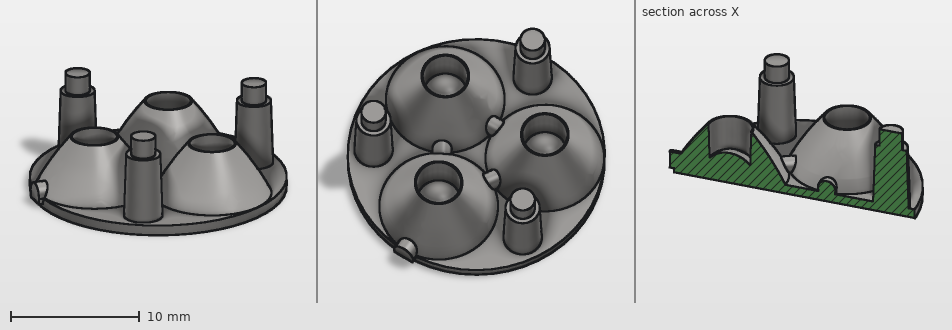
import cadquery as cq
import math

DISC_RADIUS = 10.0
DISC_THICKNESS = 0.83

LENS_ANGLES = (30, 150, 270)
LENS_CIRCLE_RADIUS = 5.34
LENS_BASE_RADIUS = 4.62
LENS_TOP_RADIUS = 1.85
LENS_TOP_Z = 5.0
FLANK_BULGE = 0.14

POCKET_TOP_RADIUS = 1.76
POCKET_FLOOR_RADIUS = 1.68
POCKET_DEPTH = 3.0
DOME_HEIGHT = 0.75

POST_ANGLES = (90, 210, 330)
POST_CIRCLE_RADIUS = 8.0
POST_BASE_RADIUS = 1.5
POST_TOP_RADIUS = 1.33
POST_TOP_Z = 6.0
PIN_RADIUS = 0.95
PIN_TOP_Z = 7.5

RUNNER_RADIUS = 0.75
RUNNER_TOP_Z = 1.87
RUNNER_LENGTH = 2.4

GATE_TIP_Y = -10.33
GATE_INNER_Y = -9.0
GATE_BOTTOM_Z = 0.36
GATE_BOTTOM_HALF_WIDTH = 0.83
GATE_HALF_WIDTH = 0.9
GATE_SHOULDER_HALF_WIDTH = 0.83
GATE_SHOULDER_Z = 1.17
GATE_TOP_Z = 1.85


def polar(radius, angle):
    """XY position at a radius and an angle in degrees."""
    turn = math.radians(angle)
    return radius * math.cos(turn), radius * math.sin(turn)


def place(shape, radius, angle):
    """Move a shape from the part axis to a polar position."""
    x, y = polar(radius, angle)
    return shape.translate((x, y, 0))


def revolve_about_z(profile):
    """Turn a closed XZ profile fully around the Z axis."""
    return profile.close().revolve(360, (0, 0, 0), (0, 1, 0))


def make_lens():
    """Bowed cone that rises from the disc top."""
    run = LENS_BASE_RADIUS - LENS_TOP_RADIUS
    rise = LENS_TOP_Z - DISC_THICKNESS
    chord = math.hypot(run, rise)
    flank_middle = (
        (LENS_BASE_RADIUS + LENS_TOP_RADIUS) / 2 + FLANK_BULGE * rise / chord,
        (DISC_THICKNESS + LENS_TOP_Z) / 2 + FLANK_BULGE * run / chord,
    )
    return revolve_about_z(
        cq.Workplane("XZ")
        .lineTo(LENS_BASE_RADIUS, 0)
        .lineTo(LENS_BASE_RADIUS, DISC_THICKNESS)
        .threePointArc(flank_middle, (LENS_TOP_RADIUS, LENS_TOP_Z))
        .lineTo(0, LENS_TOP_Z)
    )


def make_pocket():
    """Cutter for the tapered pocket, leaving a spherical dome on its floor."""
    floor_z = LENS_TOP_Z - POCKET_DEPTH
    sphere_radius = (POCKET_FLOOR_RADIUS**2 + DOME_HEIGHT**2) / (2 * DOME_HEIGHT)
    sphere_center_z = floor_z + DOME_HEIGHT - sphere_radius
    arc_radius = POCKET_FLOOR_RADIUS / 2
    arc_z = sphere_center_z + math.sqrt(sphere_radius**2 - arc_radius**2)
    return revolve_about_z(
        cq.Workplane("XZ")
        .moveTo(0, LENS_TOP_Z)
        .lineTo(POCKET_TOP_RADIUS, LENS_TOP_Z)
        .lineTo(POCKET_FLOOR_RADIUS, floor_z)
        .threePointArc((arc_radius, arc_z), (0, floor_z + DOME_HEIGHT))
    )


def make_post():
    """Tapered post with a straight locating pin on top."""
    return revolve_about_z(
        cq.Workplane("XZ")
        .lineTo(POST_BASE_RADIUS, 0)
        .lineTo(POST_BASE_RADIUS, DISC_THICKNESS)
        .lineTo(POST_TOP_RADIUS, POST_TOP_Z)
        .lineTo(PIN_RADIUS, POST_TOP_Z)
        .lineTo(PIN_RADIUS, PIN_TOP_Z)
        .lineTo(0, PIN_TOP_Z)
    )


def make_runner(angle):
    """Round bar across the gap between two lenses; the angle points at the gap."""
    gap_distance = LENS_CIRCLE_RADIUS / 2
    bar = (
        cq.Workplane("XZ")
        .center(gap_distance, RUNNER_TOP_Z - RUNNER_RADIUS)
        .circle(RUNNER_RADIUS)
        .extrude(RUNNER_LENGTH / 2, both=True)
    )
    return bar.rotate((0, 0, 0), (0, 0, 1), angle)


def make_gate():
    """Stub along Y with an arched top and sides that narrow up and down."""
    return (
        cq.Workplane("XZ", origin=(0, GATE_INNER_Y, 0))
        .moveTo(-GATE_BOTTOM_HALF_WIDTH, GATE_BOTTOM_Z)
        .lineTo(GATE_BOTTOM_HALF_WIDTH, GATE_BOTTOM_Z)
        .lineTo(GATE_HALF_WIDTH, DISC_THICKNESS)
        .lineTo(GATE_SHOULDER_HALF_WIDTH, GATE_SHOULDER_Z)
        .threePointArc((0, GATE_TOP_Z), (-GATE_SHOULDER_HALF_WIDTH, GATE_SHOULDER_Z))
        .lineTo(-GATE_HALF_WIDTH, DISC_THICKNESS)
        .close()
        .extrude(GATE_INNER_Y - GATE_TIP_Y)
    )


result = cq.Workplane("XY").circle(DISC_RADIUS).extrude(DISC_THICKNESS)
for lens_angle in LENS_ANGLES:
    result = result.union(place(make_lens(), LENS_CIRCLE_RADIUS, lens_angle))
for post_angle in POST_ANGLES:
    result = result.union(place(make_post(), POST_CIRCLE_RADIUS, post_angle))
    result = result.union(make_runner(post_angle))
result = result.union(make_gate())
for lens_angle in LENS_ANGLES:
    result = result.cut(place(make_pocket(), LENS_CIRCLE_RADIUS, lens_angle))